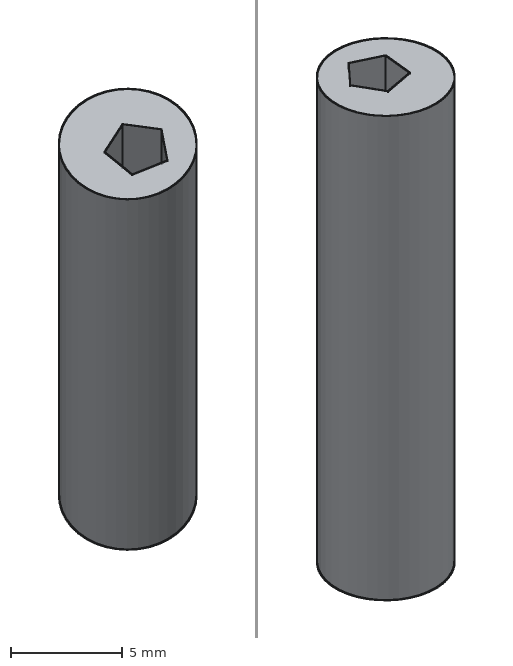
import cadquery as cq

length = 26.4
outer_diameter = 6.2
outer_sides = 40
bore_diameter = 3.0
bore_sides = 5
bore_offset = 0.5

rod = cq.Workplane("XY").polygon(outer_sides, outer_diameter).extrude(length)

bore = (
    cq.Workplane("XY")
    .center(bore_offset, 0)
    .polygon(bore_sides, bore_diameter)
    .extrude(length)
)

result = rod.cut(bore)